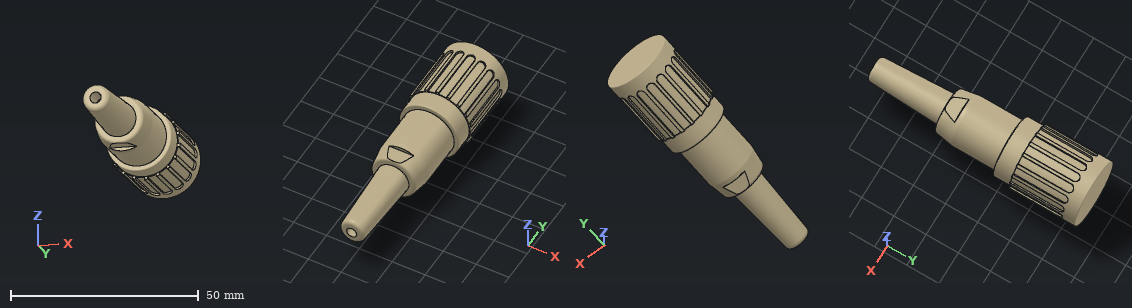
import cadquery as cq
import math

TOTAL_LENGTH = 68.5

CAP_DIAMETER = 20.0
CAP_LENGTH = 20.55
CAP_RIM_FILLET = 0.3

GROOVE_COUNT = 18
GROOVE_WIDTH = 2.5
GROOVE_DEPTH = 0.55
GROOVE_REAR_MARGIN = 4.0
GROOVE_START_ANGLE = 6.7

SLEEVE_DIAMETER = 18.4
SLEEVE_LENGTH = 5.55
SLEEVE_FILLET = 0.4

BARREL_DIAMETER = 15.5
BARREL_LENGTH = 13.6
SHOULDER_LENGTH = 5.95
SHOULDER_TAPER_ANGLE = 9.5
SHOULDER_FILLET = 0.9

FLAT_SPACING = 13.0
FLAT_LENGTH = 4.5

NOZZLE_BASE_DIAMETER = 9.6
NOZZLE_TIP_DIAMETER = 7.6
NOZZLE_TIP_FILLET = 1.2
BORE_DIAMETER = 3.0
BORE_DEPTH = 6.85

cap_front = TOTAL_LENGTH - CAP_LENGTH
sleeve_front = cap_front - SLEEVE_LENGTH
barrel_front = sleeve_front - BARREL_LENGTH
shoulder_front = barrel_front - SHOULDER_LENGTH
shoulder_taper = SHOULDER_LENGTH * math.tan(math.radians(SHOULDER_TAPER_ANGLE))
shoulder_front_radius = BARREL_DIAMETER / 2 - shoulder_taper


def frustum(y_front, y_rear, front_radius, rear_radius):
    """Solid of revolution about Y between two radii."""
    profile = (
        cq.Workplane("XY")
        .moveTo(0, y_front)
        .lineTo(front_radius, y_front)
        .lineTo(rear_radius, y_rear)
        .lineTo(0, y_rear)
        .close()
    )
    return profile.revolve(360, (0, 0, 0), (0, 1, 0))


def make_cap():
    radius = CAP_DIAMETER / 2
    cap = frustum(cap_front, TOTAL_LENGTH, radius, radius)
    cap = cap.faces(">Y").edges().fillet(CAP_RIM_FILLET)
    groove = make_groove()
    for index in range(GROOVE_COUNT):
        angle = GROOVE_START_ANGLE + index * 360 / GROOVE_COUNT
        cap = cap.cut(groove.rotate((0, 0, 0), (0, 1, 0), angle))
    return cap


def make_groove():
    """Cutter at the top of the cap, with a semicircular rear end and a floor concentric with the cap."""
    half_width = GROOVE_WIDTH / 2
    groove_rear = TOTAL_LENGTH - GROOVE_REAR_MARGIN
    arc_start = groove_rear - half_width
    floor_radius = CAP_DIAMETER / 2 - GROOVE_DEPTH
    core = frustum(cap_front, TOTAL_LENGTH, floor_radius, floor_radius)
    slot = (
        cq.Workplane("XY")
        .moveTo(-half_width, cap_front)
        .lineTo(half_width, cap_front)
        .lineTo(half_width, arc_start)
        .threePointArc((0, groove_rear), (-half_width, arc_start))
        .close()
        .extrude(CAP_DIAMETER / 2)
    )
    return slot.cut(core)


def make_sleeve():
    radius = SLEEVE_DIAMETER / 2
    sleeve = frustum(sleeve_front, cap_front, radius, radius)
    return sleeve.faces("<Y").edges().fillet(SLEEVE_FILLET)


def make_barrel():
    radius = BARREL_DIAMETER / 2
    return frustum(barrel_front, sleeve_front, radius, radius)


def make_shoulder():
    shoulder = frustum(shoulder_front, barrel_front, shoulder_front_radius, BARREL_DIAMETER / 2)
    shoulder = shoulder.faces("<Y").edges().fillet(SHOULDER_FILLET)
    flat_height = BARREL_DIAMETER
    flat_center_y = shoulder_front + FLAT_LENGTH / 2
    for side in (-1, 1):
        flat_center_z = side * (FLAT_SPACING + flat_height) / 2
        flat_cutter = cq.Workplane("XY").box(BARREL_DIAMETER, FLAT_LENGTH, flat_height)
        shoulder = shoulder.cut(flat_cutter.translate((0, flat_center_y, flat_center_z)))
    return shoulder


def make_nozzle():
    nozzle = frustum(0, shoulder_front, NOZZLE_TIP_DIAMETER / 2, NOZZLE_BASE_DIAMETER / 2)
    nozzle = nozzle.faces("<Y").edges().fillet(NOZZLE_TIP_FILLET)
    bore = frustum(0, BORE_DEPTH, BORE_DIAMETER / 2, BORE_DIAMETER / 2)
    return nozzle.cut(bore)


result = make_cap()
for section in (make_sleeve(), make_barrel(), make_shoulder(), make_nozzle()):
    result = result.union(section)